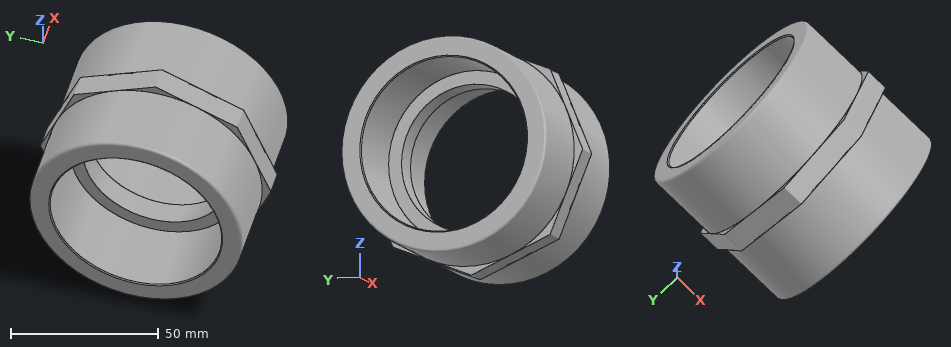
import math

import cadquery as cq

length = 59.4
body_diameter = 75.0
rim_radius = 1.0

collar_sides = 8
collar_width = 8.3
collar_clearance = 0.02
collar_outer_diameter = 81.1
collar_flats = body_diameter + collar_clearance

corner_stretch = 1 / math.cos(math.pi / collar_sides)
collar_sharp_diameter = collar_flats * corner_stretch
collar_corner_radius = (collar_sharp_diameter - collar_outer_diameter) / 2 / (corner_stretch - 1)

stop_diameter = 50.9
socket_diameter = 60.3
stop_width = 8.3
mouth_chamfer = 0.4
socket_depth = (length - stop_width) / 2


def make_body():
    """Solid cylinder centred on the origin, with rounded outer rims."""
    body = cq.Workplane("YZ").circle(body_diameter / 2).extrude(length / 2, both=True)
    return body.faces("<X or >X").edges().fillet(rim_radius)


def make_collar():
    """Octagon with rounded corners on the Y and Z axes."""
    collar = (
        cq.Workplane("YZ")
        .polygon(collar_sides, collar_sharp_diameter)
        .extrude(collar_width / 2, both=True)
    )
    return collar.edges("|X").fillet(collar_corner_radius)


def make_bore():
    """Stop-ring bore with a chamfer-mouthed socket at each end."""
    bore = cq.Workplane("YZ").circle(stop_diameter / 2).extrude(length / 2, both=True)
    mouth_radius = socket_diameter / 2 + mouth_chamfer
    socket = (
        cq.Workplane("XY", origin=(-length / 2, 0, 0))
        .lineTo(0, mouth_radius)
        .lineTo(mouth_chamfer, socket_diameter / 2)
        .lineTo(socket_depth, socket_diameter / 2)
        .lineTo(socket_depth, 0)
        .close()
        .revolve(360, (0, 0, 0), (1, 0, 0))
    )
    return bore.union(socket).union(socket.mirror("YZ"))


result = make_body().union(make_collar()).cut(make_bore())